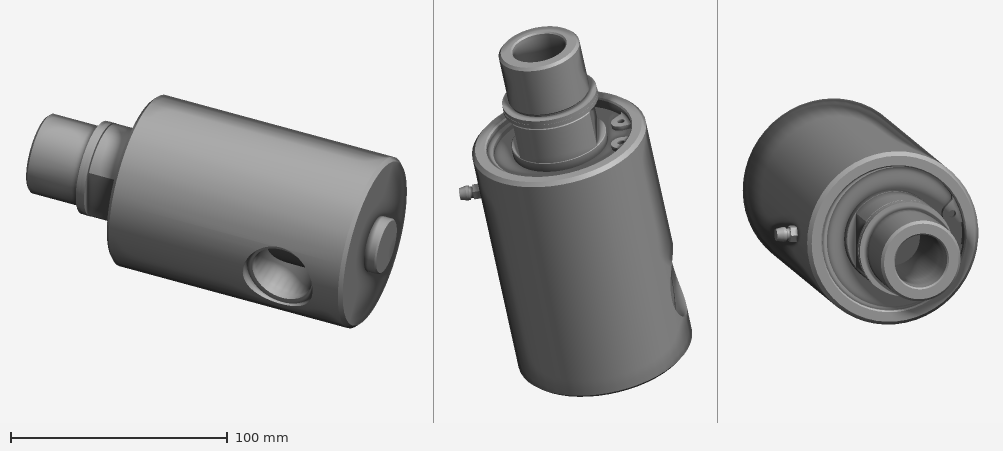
import cadquery as cq
import math

TOTAL_LENGTH = 172.5

SPIGOT_DIAMETER = 38.1
SPIGOT_LENGTH = 26.5
SPIGOT_TIP_CHAMFER = 1.2
SPIGOT_ROOT_CHAMFER = 0.7
NECK_WIDTH = 0.9
BORE_DIAMETER = 25.0
BORE_CHAMFER = 0.7

FRONT_WASHER_DIAMETER = 44.5
REAR_WASHER_DIAMETER = 44.7
WASHER_THICKNESS = 2.0

SHAFT_DIAMETER = 44.5
SHAFT_CHAMFER = 0.7
WRENCH_WIDTH = 36.0
FLATS_END = 49.5
SEAL_SLEEVE_DIAMETER = 44.7
SEAL_SLEEVE_CHAMFER = 0.3

BODY_DIAMETER = 82.0
BODY_START = 49.0
BODY_END = 166.7
BODY_CHAMFER = 1.7
RECESS_DIAMETER = 68.2
RECESS_DEPTH = 5.2
RECESS_CHAMFER = 0.7
PLUG_DIAMETER = 26.5
PLUG_CHAMFER = 0.7

RING_THICKNESS = 2.2
RING_INNER_RADIUS = 33.3
RING_INNER_SHIFT = 2.0
LUG_RADIUS = 4.7
LUG_HOLE_DIAMETER = 3.5
LUG_FLANK_RISE = 0.7
LUG_OFFSET_Y = 28.8
LUG_OFFSET_Z = 9.5

PORT_X = 135.0
PORT_DIAMETER = 28.6
PORT_ENTRY_DIAMETER = 29.7
PORT_ENTRY_DEPTH = 16.0
SPOTFACE_DIAMETER = 34.9
SPOTFACE_DEPTH = 5.3
SLEEVE_DIAMETER = 38.3

NIPPLE_X = 71.1
NIPPLE_HEIGHT = 9.5
NIPPLE_EMBED = 1.7
HEX_WIDTH = 6.9
HEX_TOP = 3.1
HEX_BOTTOM = -0.5
HEX_CHAMFER = 0.5
NIPPLE_BASE_RADIUS = 3.1
NIPPLE_NECK_RADIUS = 2.6
NIPPLE_NECK_HEIGHT = 4.0
NIPPLE_COLLAR_RADIUS = 3.5
NIPPLE_COLLAR_START = 5.0
NIPPLE_COLLAR_END = 6.2
NIPPLE_TIP_RADIUS = 2.8

BODY_RADIUS = BODY_DIAMETER / 2
RECESS_RADIUS = RECESS_DIAMETER / 2
RECESS_FLOOR = BODY_START + RECESS_DEPTH
SHAFT_START = SPIGOT_LENGTH + 2 * WASHER_THICKNESS


def cylinder_x(diameter, start, end):
    """Solid cylinder on the X axis between two X positions."""
    return cq.Workplane("YZ", origin=(start, 0, 0)).circle(diameter / 2).extrude(end - start)


def make_spigot():
    """Spigot chamfered at both ends, with a narrow neck before the washers."""
    spigot = cylinder_x(SPIGOT_DIAMETER, 0, SPIGOT_LENGTH - NECK_WIDTH)
    spigot = spigot.faces("<X").chamfer(SPIGOT_TIP_CHAMFER).faces(">X").chamfer(SPIGOT_ROOT_CHAMFER)
    neck_diameter = SPIGOT_DIAMETER - 2 * SPIGOT_ROOT_CHAMFER
    return spigot.union(cylinder_x(neck_diameter, SPIGOT_LENGTH - NECK_WIDTH, SPIGOT_LENGTH))


def make_washers():
    middle = SPIGOT_LENGTH + WASHER_THICKNESS
    front = cylinder_x(FRONT_WASHER_DIAMETER, SPIGOT_LENGTH, middle)
    return front.union(cylinder_x(REAR_WASHER_DIAMETER, middle, SHAFT_START))


def make_shaft():
    """Shaft with two wrench flats facing -Y and +Y, ending in the seal sleeve."""
    flats_length = FLATS_END - SHAFT_START
    shaft = cylinder_x(SHAFT_DIAMETER, SHAFT_START, FLATS_END).faces("<X").chamfer(SHAFT_CHAMFER)
    wrench_block = cq.Workplane("XY").box(flats_length, WRENCH_WIDTH, SHAFT_DIAMETER)
    shaft = shaft.intersect(wrench_block.translate((SHAFT_START + flats_length / 2, 0, 0)))
    seal_sleeve = cylinder_x(SEAL_SLEEVE_DIAMETER, FLATS_END, RECESS_FLOOR)
    return shaft.union(seal_sleeve.faces("<X").chamfer(SEAL_SLEEVE_CHAMFER))


def make_body():
    """Housing with chamfered ends and a recess for the retaining ring."""
    body = cylinder_x(BODY_DIAMETER, BODY_START, BODY_END).faces("<X or >X").chamfer(BODY_CHAMFER)
    recess = cylinder_x(RECESS_DIAMETER, BODY_START, RECESS_FLOOR)
    body = body.cut(recess)
    recess_edge = cq.selectors.RadiusNthSelector(0)
    return body.faces("<X").edges(recess_edge).chamfer(RECESS_CHAMFER)


def make_plug():
    return cylinder_x(PLUG_DIAMETER, BODY_END, TOTAL_LENGTH).faces(">X").chamfer(PLUG_CHAMFER)


def make_lug(side):
    """Ring lug at Z = side * LUG_OFFSET_Z."""
    floor = cq.Workplane("YZ", origin=(RECESS_FLOOR, 0, 0))
    eye = floor.center(-LUG_OFFSET_Y, side * LUG_OFFSET_Z).circle(LUG_RADIUS).extrude(-RING_THICKNESS)
    tangent = LUG_RADIUS / math.sqrt(2)
    web = floor.polyline(
        [
            (-LUG_OFFSET_Y + tangent, side * (LUG_OFFSET_Z + tangent)),
            (-LUG_OFFSET_Y, side * (LUG_OFFSET_Z + 2 * tangent)),
            (-LUG_OFFSET_Y, side * RECESS_RADIUS),
            (-RECESS_RADIUS, side * RECESS_RADIUS),
            (-RECESS_RADIUS, side * (LUG_OFFSET_Z - LUG_RADIUS + LUG_FLANK_RISE)),
            (-LUG_OFFSET_Y, side * (LUG_OFFSET_Z - LUG_RADIUS)),
        ]
    ).close().extrude(-RING_THICKNESS)
    hole = floor.center(-LUG_OFFSET_Y, side * LUG_OFFSET_Z).circle(LUG_HOLE_DIAMETER / 2)
    return eye.union(web).cut(hole.extrude(-RING_THICKNESS))


def make_retaining_ring():
    """Ring that is thickest at +Y and tapers toward its two lugs."""
    ring_front = RECESS_FLOOR - RING_THICKNESS
    disc = cylinder_x(RECESS_DIAMETER, ring_front, RECESS_FLOOR)
    opening = cylinder_x(2 * RING_INNER_RADIUS, ring_front, RECESS_FLOOR).translate((0, -RING_INNER_SHIFT, 0))
    ring = disc.cut(opening)
    for side in (1, -1):
        ring = ring.union(make_lug(side).intersect(disc))
    return ring


def make_port_cutter():
    """Spotface, tapered entry and bore; the inner sleeve stays whole at the bottom."""
    surface = cq.Workplane("XZ", origin=(PORT_X, -BODY_RADIUS, 0))
    seat = surface.workplane(offset=-SPOTFACE_DEPTH)
    taper_angle = math.degrees(math.atan((PORT_ENTRY_DIAMETER - PORT_DIAMETER) / 2 / PORT_ENTRY_DEPTH))
    spotface = surface.circle(SPOTFACE_DIAMETER / 2).extrude(-SPOTFACE_DEPTH)
    entry = seat.circle(PORT_ENTRY_DIAMETER / 2).extrude(-PORT_ENTRY_DEPTH, taper=taper_angle)
    bore = surface.circle(PORT_DIAMETER / 2).extrude(-BODY_RADIUS)
    sleeve = cylinder_x(SLEEVE_DIAMETER, BODY_START, BODY_END)
    return spotface.union(entry).union(bore).cut(sleeve)


def make_nipple():
    """Hexagon with its lower corners chamfered, carrying a turned head with a round neck."""
    corner_diameter = HEX_WIDTH / math.cos(math.pi / 6)
    base = cq.Workplane("XZ", origin=(0, HEX_BOTTOM, 0))
    hexagon = base.polygon(6, corner_diameter).extrude(HEX_BOTTOM - HEX_TOP)
    corner_trim = base.circle(corner_diameter / 2).extrude(HEX_BOTTOM - HEX_TOP)
    hexagon = hexagon.intersect(corner_trim.faces("<Y").chamfer(HEX_CHAMFER))
    head = (
        cq.Workplane("XY")
        .moveTo(0, -NIPPLE_EMBED)
        .lineTo(NIPPLE_BASE_RADIUS, -NIPPLE_EMBED)
        .lineTo(NIPPLE_BASE_RADIUS, HEX_TOP)
        .threePointArc(
            (NIPPLE_NECK_RADIUS, NIPPLE_NECK_HEIGHT),
            (NIPPLE_COLLAR_RADIUS, NIPPLE_COLLAR_START),
        )
        .lineTo(NIPPLE_COLLAR_RADIUS, NIPPLE_COLLAR_END)
        .lineTo(NIPPLE_TIP_RADIUS, NIPPLE_HEIGHT)
        .lineTo(0, NIPPLE_HEIGHT)
        .close()
        .revolve(360, (0, 0, 0), (0, 1, 0))
    )
    return hexagon.union(head).translate((NIPPLE_X, BODY_RADIUS, 0))


def make_end_bore():
    """Blind bore from the spigot tip, with a chamfered mouth."""
    bore = cylinder_x(BORE_DIAMETER, 0, BODY_START)
    mouth_radius = BORE_DIAMETER / 2 + BORE_CHAMFER
    mouth = cq.Workplane("YZ").circle(mouth_radius).extrude(BORE_CHAMFER, taper=45)
    return bore.union(mouth)


result = make_body().union(make_spigot()).union(make_washers()).union(make_shaft()).union(make_plug())
result = result.union(make_retaining_ring()).union(make_nipple())
result = result.cut(make_port_cutter()).cut(make_end_bore()).solids()